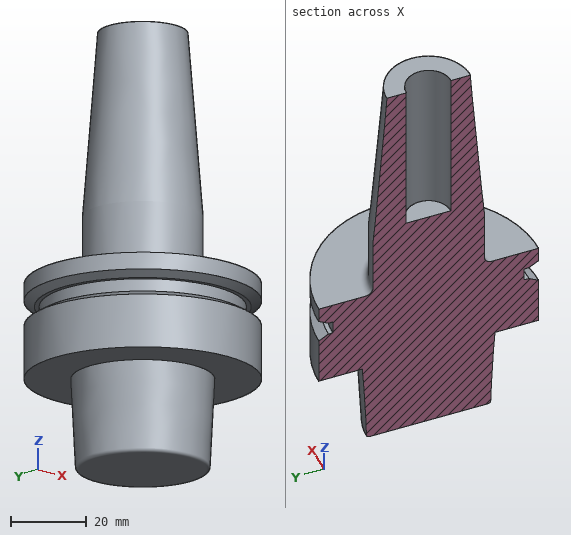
import cadquery as cq
import math

total_height = 120.0
shank_length = 25.0
flange_height = 26.0
nose_length = 50.6
flange_top = shank_length + flange_height
nose_start = total_height - nose_length

flange_radius = 63.0 / 2
shank_top_radius = 38.2 / 2
shank_taper = 0.05
shank_end_radius = shank_top_radius - shank_taper * shank_length
neck_radius = 32.0 / 2
tip_radius = 24.0 / 2
neck_fillet = 2.0

shank_end_fillet = 1.0

groove_center = shank_length + 18.0
groove_floor_width = 3.7
groove_floor_radius = 55.0 / 2
groove_flank_depth = 2.8
groove_flank_angle = 30.0

bore_diameter = 12.7
bore_depth = 46.8


def make_body():
    """Shank, flange, neck and conical nose turned around Z."""
    return (
        cq.Workplane("XZ")
        .moveTo(0, 0)
        .lineTo(shank_end_radius, 0)
        .lineTo(shank_top_radius, shank_length)
        .lineTo(flange_radius, shank_length)
        .lineTo(flange_radius, flange_top)
        .lineTo(neck_radius + neck_fillet, flange_top)
        .radiusArc((neck_radius, flange_top + neck_fillet), neck_fillet)
        .lineTo(neck_radius, nose_start)
        .lineTo(tip_radius, total_height)
        .lineTo(0, total_height)
        .close()
        .revolve(360, (0, 0, 0), (0, 1, 0))
    )


def make_groove():
    """Ring with a square floor channel and sloping flanks at its mouth."""
    half_floor = groove_floor_width / 2
    flank_rise = groove_flank_depth * math.tan(math.radians(groove_flank_angle))
    half_mouth = half_floor + flank_rise
    flank_radius = flange_radius - groove_flank_depth
    return (
        cq.Workplane("XZ")
        .moveTo(groove_floor_radius, groove_center - half_floor)
        .lineTo(flank_radius, groove_center - half_floor)
        .lineTo(flange_radius, groove_center - half_mouth)
        .lineTo(flange_radius, groove_center + half_mouth)
        .lineTo(flank_radius, groove_center + half_floor)
        .lineTo(groove_floor_radius, groove_center + half_floor)
        .close()
        .revolve(360, (0, 0, 0), (0, 1, 0))
    )


body = make_body().faces("<Z").edges().fillet(shank_end_fillet)
body = body.cut(make_groove())
result = body.faces(">Z").workplane().hole(bore_diameter, bore_depth)